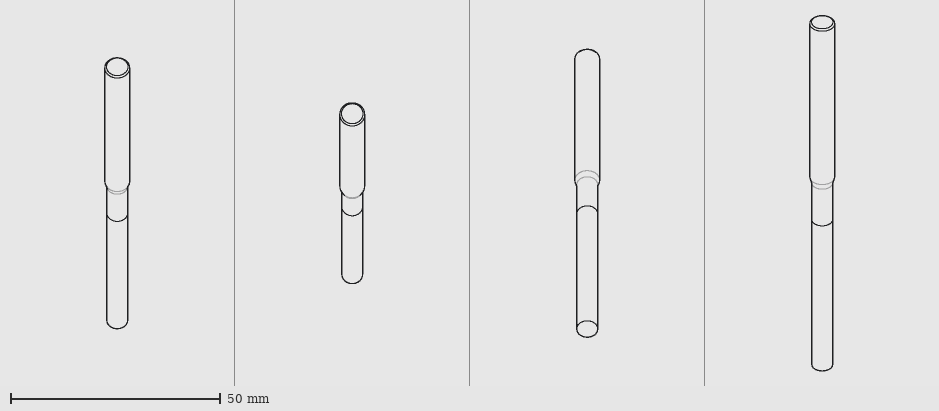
import cadquery as cq
import math

total_length = 105.0
shank_diameter = 6.0
drill_diameter = 5.0
joint_height = 45.0
shank_bottom = 58.0
shank_chamfer = 0.4
point_angle = 140.0
taper_half_angle = 15.0

shank_radius = shank_diameter / 2
drill_radius = drill_diameter / 2
point_height = drill_radius / math.tan(math.radians(point_angle / 2))
taper_height = (shank_radius - drill_radius) / math.tan(math.radians(taper_half_angle))


def turned(profile):
    """Revolve a closed (radius, height) profile around the Z axis."""
    return cq.Workplane("XZ").polyline(profile).close().revolve(360, (0, 0), (0, 1))


def make_shank():
    """Chamfered shank that tapers down to a neck of the drill diameter."""
    return turned([
        (0, joint_height),
        (drill_radius, joint_height),
        (drill_radius, shank_bottom - taper_height),
        (shank_radius, shank_bottom),
        (shank_radius, total_length - shank_chamfer),
        (shank_radius - shank_chamfer, total_length),
        (0, total_length),
    ])


def make_cutting_body():
    """Plain cylinder with a conical drill point."""
    return turned([
        (0, 0),
        (drill_radius, point_height),
        (drill_radius, joint_height),
        (0, joint_height),
    ])


shank = make_shank()
cutting_body = make_cutting_body()

result = cq.Compound.makeCompound([shank.val(), cutting_body.val()])